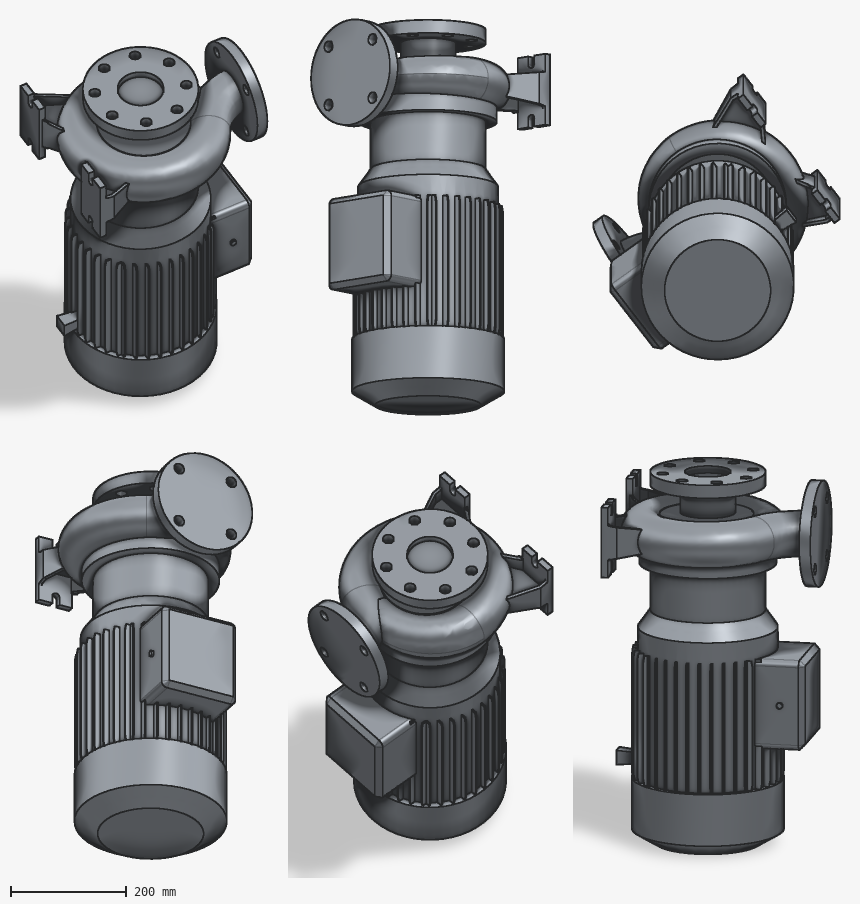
import cadquery as cq
import math


MOTOR_RADIUS = 132.0
TAIL_RADIUS = 92.0
TAIL_CONE_TOP = 24.5
FIN_BOTTOM = 116.0
FIN_TOP = 347.0
COLLAR_RADIUS = 121.5
FIN_THICKNESS = 2.5
FIN_ANGLES = (5, 15, 25, 35, 45)
FIN_HEIGHT = 10.5
FIN_ROOT = 6.5
FIN_END_DEPTH = 2.0
FIN_END_LENGTH = 10.5

CONE_BOTTOM = 384.0
CONE_TOP = 414.5
LANTERN_DIAMETER = 200.0
ADAPTER_BOTTOM = 498.0
ADAPTER_DIAMETER = 238.0

BOX_WIDTH = 145.0
BOX_BACK = 185.0
BOX_FRONT = 53.0
BOX_BOTTOM = 187.5
BOX_EDGE_RADIUS = 10.5
BOX_BACK_CHAMFER = 10.0
SCREW_DIAMETER = 10.5
SCREW_LENGTH = 4.0
SCREW_Y = 142.0

DRAIN_WIDTH = 27.0
DRAIN_HEIGHT = 26.0
DRAIN_FRONT = -159.0
DRAIN_DEPTH = 46.0
DRAIN_TAPER = 4.5
DRAIN_Z = 145.0

TOP = 660.0
SUCTION_DIAMETER = 200.0
SUCTION_THICKNESS = 23.0
SUCTION_BOLT_CIRCLE = 160.0
SUCTION_BOLTS = 8
SUCTION_BORE = 80.0
SUCTION_BORE_DEPTH = 12.5
NECK_DIAMETER = 96.0
BOLT_HOLE = 19.0

VOLUTE_Z = 559.0
VOLUTE_OFFSET = 10.5
VOLUTE_OUTER_RADIUS = 150.5
TUBE_RADIUS = SUCTION_BORE / 2
VOLUTE_RADIUS = VOLUTE_OUTER_RADIUS - TUBE_RADIUS
TONGUE_ANGLE = 75
TONGUE_TUBE_RADIUS = 33.5
TONGUE_REACH = 101.5
TONGUE_STEPS = 5
COVER_RADIUS = 82.0
COVER_TOP = 588.0

DISCHARGE_BACK = 200.0
DISCHARGE_RADIUS = 92.5
DISCHARGE_THICKNESS = 20.0
DISCHARGE_BOLT_CIRCLE = 145.0
DISCHARGE_BOLTS = 4

FOOT_FRONT = -160.0
FOOT_THICKNESS = 12.0
FOOT_OUTER_X = 140.0
FOOT_INNER_X = 74.5
FOOT_HEIGHT = 125.0
SLOT_X = 106.0
SLOT_WIDTH = 14.0
SLOT_DEPTH = 21.0
BRACKET_WALL = 6.0
BRACKET_BEND_Y = -132.0
BRACKET_OUTER_END = (104.0, -53.0)
BRACKET_INNER_END = (22.0, -121.5)
BRACKET_FILLET = 3.0
BRACKET_HALF_HEIGHT = 30.0
BRACKET_END_HALF_HEIGHT = 16.0


def cylinder(radius, bottom, top):
    return cq.Workplane("XY").workplane(offset=bottom).circle(radius).extrude(top - bottom)


def bolt_holes(plane, circle, count, depth):
    """Bolt holes straddling the centre lines, drilled along the plane normal."""
    return (
        cq.Workplane(plane)
        .polarArray(circle / 2, 180 / count, 360, count)
        .circle(BOLT_HOLE / 2)
        .extrude(depth)
    )


def motor_body():
    """Turned body from the motor end up to the pump adapter."""
    profile = [
        (0, 0),
        (TAIL_RADIUS, 0),
        (MOTOR_RADIUS, TAIL_CONE_TOP),
        (MOTOR_RADIUS, FIN_BOTTOM),
        (COLLAR_RADIUS, FIN_BOTTOM),
        (COLLAR_RADIUS, CONE_BOTTOM),
        (LANTERN_DIAMETER / 2, CONE_TOP),
        (LANTERN_DIAMETER / 2, ADAPTER_BOTTOM),
        (ADAPTER_DIAMETER / 2, ADAPTER_BOTTOM),
        (ADAPTER_DIAMETER / 2, VOLUTE_Z),
        (0, VOLUTE_Z),
    ]
    return cq.Workplane("XZ").polyline(profile).close().revolve(360, (0, 0), (0, 1))


def cooling_fin(place):
    """Fin on the +Y side at X = place, standing FIN_HEIGHT above the collar with bevelled tip ends."""
    collar_y = math.sqrt(COLLAR_RADIUS**2 - place**2)
    root_y = collar_y - FIN_ROOT
    tip_y = collar_y + FIN_HEIGHT
    end_y = tip_y - FIN_END_DEPTH
    profile = [
        (root_y, FIN_BOTTOM),
        (end_y, FIN_BOTTOM),
        (tip_y, FIN_BOTTOM + FIN_END_LENGTH),
        (tip_y, FIN_TOP - FIN_END_LENGTH),
        (end_y, FIN_TOP),
        (root_y, FIN_TOP),
    ]
    start = place - FIN_THICKNESS / 2
    return cq.Workplane("YZ", origin=(start, 0, 0)).polyline(profile).close().extrude(FIN_THICKNESS)


def cooling_fins():
    """Fins in four groups, the fins of each group parallel to one axis."""
    fins = cq.Workplane("XY")
    for angle in FIN_ANGLES:
        place = COLLAR_RADIUS * math.sin(math.radians(angle))
        for fin in (cooling_fin(place), cooling_fin(-place)):
            for turn in (0, 90, 180, 270):
                fins = fins.add(fin.rotate((0, 0, 0), (0, 0, 1), turn))
    return fins.combine()


def terminal_box():
    """Box behind the motor: rounded long edges, chamfered back, one screw head on its +X side."""
    height = FIN_TOP - BOX_BOTTOM
    middle_z = (FIN_TOP + BOX_BOTTOM) / 2
    box = (
        cq.Workplane("XY")
        .box(BOX_WIDTH, BOX_BACK - BOX_FRONT, height)
        .translate((0, (BOX_BACK + BOX_FRONT) / 2, middle_z))
        .edges("|Y")
        .fillet(BOX_EDGE_RADIUS)
        .faces(">Y")
        .chamfer(BOX_BACK_CHAMFER)
    )
    screw = (
        cq.Workplane("YZ", origin=(0, SCREW_Y, middle_z))
        .circle(SCREW_DIAMETER / 2)
        .extrude(BOX_WIDTH / 2 + SCREW_LENGTH)
    )
    return box.union(screw)


def drain_block():
    """Small block on the front of the motor, narrowing towards the motor."""
    return (
        cq.Workplane("XZ", origin=(0, DRAIN_FRONT, DRAIN_Z))
        .rect(DRAIN_WIDTH, DRAIN_HEIGHT)
        .extrude(-DRAIN_DEPTH, taper=DRAIN_TAPER)
    )


def volute():
    """Constant tube round the pump, an S-bend to the discharge and a tapering start."""
    bend_radius = (DISCHARGE_BACK**2 + VOLUTE_OFFSET**2 - VOLUTE_RADIUS**2) / (
        2 * (VOLUTE_RADIUS + VOLUTE_OFFSET)
    )
    joint_angle = math.atan2(DISCHARGE_BACK, bend_radius - VOLUTE_OFFSET)

    def on_volute(angle):
        return (VOLUTE_OFFSET + VOLUTE_RADIUS * math.cos(angle), VOLUTE_RADIUS * math.sin(angle))

    bend_middle = math.pi + joint_angle / 2
    bend_point = (
        bend_radius + bend_radius * math.cos(bend_middle),
        DISCHARGE_BACK + bend_radius * math.sin(bend_middle),
    )
    start = on_volute(math.pi)
    path = (
        cq.Workplane("XY", origin=(0, 0, VOLUTE_Z))
        .moveTo(*start)
        .threePointArc(on_volute((joint_angle - math.pi) / 2), on_volute(joint_angle))
        .threePointArc(bend_point, (0, DISCHARGE_BACK))
    )
    tube = cq.Workplane("XZ", origin=(start[0], 0, VOLUTE_Z)).circle(TUBE_RADIUS).sweep(path)

    sections = []
    for step in range(TONGUE_STEPS + 1):
        share = step / TONGUE_STEPS
        angle = math.radians(180 + share * (TONGUE_ANGLE - 180))
        reach = -start[0] + share * (TONGUE_REACH + start[0])
        radius = TUBE_RADIUS + share * (TONGUE_TUBE_RADIUS - TUBE_RADIUS)
        centre = cq.Vector(reach * math.cos(angle), reach * math.sin(angle), VOLUTE_Z)
        normal = cq.Vector(-math.sin(angle), math.cos(angle), 0)
        sections.append(cq.Wire.makeCircle(radius, centre, normal))
    tongue = cq.Workplane(cq.Solid.makeLoft(sections))

    cover = cylinder(COVER_RADIUS, VOLUTE_Z, COVER_TOP).translate((VOLUTE_OFFSET, 0, 0))
    return tube.union(tongue).union(cover)


def suction_flange():
    neck = cylinder(NECK_DIAMETER / 2, VOLUTE_Z, TOP)
    flange = cylinder(SUCTION_DIAMETER / 2, TOP - SUCTION_THICKNESS, TOP)
    holes = bolt_holes(
        cq.Plane.XY((0, 0, TOP - SUCTION_THICKNESS)), SUCTION_BOLT_CIRCLE, SUCTION_BOLTS, SUCTION_THICKNESS
    )
    bore = cylinder(SUCTION_BORE / 2, TOP - SUCTION_BORE_DEPTH, TOP)
    return flange.cut(holes).union(neck).cut(bore)


def discharge_flange():
    plane = cq.Plane.XZ((0, DISCHARGE_BACK, VOLUTE_Z))
    flange = cq.Workplane(plane).circle(DISCHARGE_RADIUS).extrude(DISCHARGE_THICKNESS)
    return flange.cut(bolt_holes(plane, DISCHARGE_BOLT_CIRCLE, DISCHARGE_BOLTS, DISCHARGE_THICKNESS))


def foot():
    """Foot on the +X side: slotted plate joined to the volute by a channel-shaped bracket."""
    plate_back = FOOT_FRONT + FOOT_THICKNESS
    plate = (
        cq.Workplane("XZ", origin=(0, plate_back, VOLUTE_Z))
        .center((FOOT_OUTER_X + FOOT_INNER_X) / 2, 0)
        .rect(FOOT_OUTER_X - FOOT_INNER_X, FOOT_HEIGHT)
        .extrude(FOOT_THICKNESS)
    )
    slots = (
        cq.Workplane("XZ", origin=(0, plate_back, VOLUTE_Z))
        .pushPoints([(SLOT_X, FOOT_HEIGHT / 2), (SLOT_X, -FOOT_HEIGHT / 2)])
        .slot2D(2 * SLOT_DEPTH, SLOT_WIDTH, 90)
        .extrude(FOOT_THICKNESS)
    )
    plate = plate.cut(slots)

    buried_y = plate_back - BRACKET_WALL
    bracket_plan = [
        (FOOT_INNER_X, buried_y),
        (FOOT_OUTER_X, buried_y),
        (FOOT_OUTER_X, BRACKET_BEND_Y),
        BRACKET_OUTER_END,
        BRACKET_INNER_END,
    ]

    def bracket_outline(height):
        return cq.Workplane("XY", origin=(0, 0, VOLUTE_Z - height / 2)).polyline(bracket_plan).close()

    pocket = bracket_outline(FOOT_HEIGHT).offset2D(-BRACKET_WALL).extrude(FOOT_HEIGHT)
    walls = bracket_outline(FOOT_HEIGHT).extrude(FOOT_HEIGHT).cut(pocket)
    web = bracket_outline(BRACKET_WALL).extrude(BRACKET_WALL)

    flare_y = plate_back + BRACKET_FILLET
    flare_half_height = BRACKET_HALF_HEIGHT + BRACKET_FILLET
    end_y = BRACKET_OUTER_END[1]
    side_profile = (
        cq.Workplane("YZ", origin=(0, 0, VOLUTE_Z))
        .moveTo(buried_y, -flare_half_height)
        .lineTo(plate_back, -flare_half_height)
        .radiusArc((flare_y, -BRACKET_HALF_HEIGHT), BRACKET_FILLET)
        .lineTo(end_y, -BRACKET_END_HALF_HEIGHT)
        .lineTo(end_y, BRACKET_END_HALF_HEIGHT)
        .lineTo(flare_y, BRACKET_HALF_HEIGHT)
        .radiusArc((plate_back, flare_half_height), BRACKET_FILLET)
        .lineTo(buried_y, flare_half_height)
        .close()
        .extrude(FOOT_OUTER_X)
    )
    return plate.union(walls.intersect(side_profile)).union(web)


right_foot = foot()
left_foot = right_foot.mirror("YZ")

result = (
    motor_body()
    .union(cooling_fins())
    .union(terminal_box())
    .union(drain_block())
    .union(volute())
    .union(suction_flange())
    .union(discharge_flange())
    .union(right_foot)
    .union(left_foot)
)